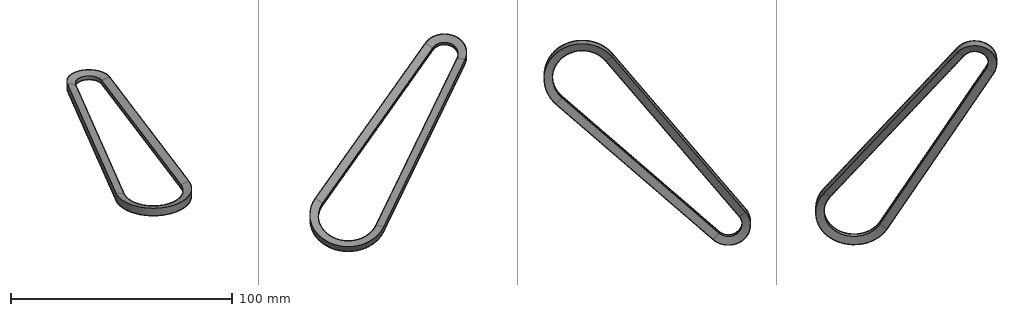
import cadquery as cq
import math

length = 125.2
height = 4.0
inner_height = height / 2
band = 3.9
large_diameter = 34.7
small_radius = 10.0
small_offset_y = 1.9

large_radius = large_diameter / 2
flank_drop = (height - inner_height) / 2

large_center = (0.0, 0.0)
small_center = (large_radius + small_radius - length, small_offset_y)

dx = large_center[0] - small_center[0]
dy = large_center[1] - small_center[1]
axis_angle = math.atan2(dy, dx)
tangent_turn = math.acos((small_radius - large_radius) / math.hypot(dx, dy))
upper_angle = axis_angle + tangent_turn
lower_angle = axis_angle - tangent_turn


def point_on_circle(center, radius, angle):
    return (center[0] + radius * math.cos(angle), center[1] + radius * math.sin(angle))


def outer_outline():
    """Closed teardrop: two arcs joined by their common outer tangents."""
    return (
        cq.Workplane("XY")
        .moveTo(*point_on_circle(small_center, small_radius, upper_angle))
        .lineTo(*point_on_circle(large_center, large_radius, upper_angle))
        .threePointArc(
            point_on_circle(large_center, large_radius, axis_angle),
            point_on_circle(large_center, large_radius, lower_angle),
        )
        .lineTo(*point_on_circle(small_center, small_radius, lower_angle))
        .threePointArc(
            point_on_circle(small_center, small_radius, axis_angle + math.pi),
            point_on_circle(small_center, small_radius, upper_angle),
        )
        .close()
    )


def belt_section():
    """Trapezoid at the start of the outline: tall outer wall, short inner wall."""
    start = point_on_circle(small_center, small_radius, upper_angle)
    inward = (-math.cos(upper_angle), -math.sin(upper_angle), 0)
    along = (math.sin(upper_angle), -math.cos(upper_angle), 0)
    plane = cq.Plane(origin=(start[0], start[1], 0), xDir=inward, normal=along)
    up = plane.yDir.z
    return cq.Workplane(plane).polyline([
        (0, 0),
        (band, up * flank_drop),
        (band, up * (height - flank_drop)),
        (0, up * height),
    ]).close()


result = belt_section().sweep(outer_outline())